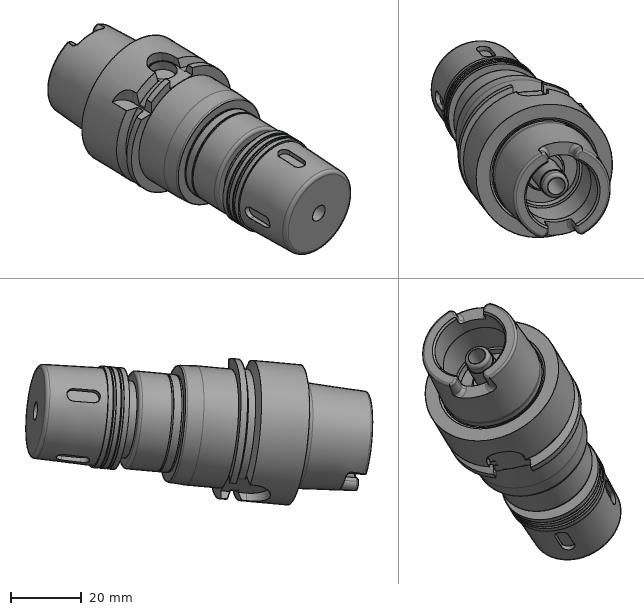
import cadquery as cq
import math


TOTAL_LENGTH = 95.0

SHANK_LENGTH = 19.9
TAPER_END = 17.8
TAPER_SMALL_RADIUS = 14.2
TAPER_LARGE_RADIUS = 15.1
RELIEF_START = 18.6
RELIEF_RADIUS = 14.9
FACE_GROOVE_DEPTH = 0.4
FACE_GROOVE_INNER = 15.3
FACE_GROOVE_OUTER = 16.0
SHANK_EDGE_FILLET = 0.7

BORE_RADIUS = 21.0 / 2
BORE_CHAMFER = 0.6
BORE_LIP_END = 7.9
CAVITY_RADIUS = 21.8 / 2
CAVITY_END = 19.0
FLOOR_STEP_RADIUS = 10.2
FLOOR_RADIUS = 9.9
BORE_FLOOR = 20.9

TUBE_START = 6.6
TUBE_TIP_RADIUS = 7.5 / 2
TUBE_TIP_END = 9.5
TUBE_RADIUS = 8.0 / 2
TUBE_ROUNDING = 1.0
COLLAR_RADIUS = 12.0 / 2
COLLAR_START = 19.5
COLLAR_CHAMFER = 0.6
THROUGH_RADIUS = 5.0 / 2

KEY_HALF_WIDTH = 4.0
KEY_FLARE_RADIUS = 2.0
KEY_FLARE_START = 10.8
KEY_FLOOR_FILLET = 1.1
KEY_DEPTH_TOP = 3.5
KEY_DEPTH_BOTTOM = 5.8

FLANGE_RADIUS = 40.0 / 2
FLANGE_LENGTH = 19.95
FLANGE_END = SHANK_LENGTH + FLANGE_LENGTH
GROOVE_EDGE_START = 33.8
GROOVE_FLOOR_START = 35.0
GROOVE_FLOOR_END = 37.05
GROOVE_EDGE_END = 37.9
GROOVE_RADIUS = 17.4

NOTCH_FLOOR = 16.9
NOTCH_CENTER = 32.3
TOP_NOTCH_WIDTH = 8.9
BOTTOM_NOTCH_WIDTH = 11.0
POCKET_RADIUS = 4.1
POCKET_DEPTH = 2.85
CORNER_NOTCH_OFFSET = 12.0
CORNER_NOTCH_RADIUS = 4.3
CORNER_NOTCH_CENTER = 32.4

BODY_RADIUS = 17.0
BODY_CONE_START = 49.9
BODY_CONE_END = 54.5
BODY_CONE_RADIUS = 16.7
BODY_END = 55.1
BODY_EDGE_RADIUS = 16.5

NECK_RADIUS = 14.0
NECK_RECESS_RADIUS = 13.9
NECK_STEP_START = 55.6
NECK_STEP_END = 57.95
NECK_LAND_START = 58.4
NECK_END = 68.0
NECK_FILLET = 0.95
STEM_RADIUS = 11.0

NUT_START = 71.0
NUT_RING_RADIUS = 29.0 / 2
NUT_RING_END = 77.1
RING_GROOVE_STARTS = (72.5, 74.8)
RING_GROOVE_WIDTH = 0.95
RING_GROOVE_FLOOR_WIDTH = 0.6
RING_GROOVE_DEPTH = 0.4
NUT_BACK_RADIUS = 14.0
NUT_FRONT_RADIUS = 13.4
NUT_FRONT_FILLET = 1.1

NUT_SLOT_START = 79.3
NUT_SLOT_LENGTH = 9.6
NUT_SLOT_WIDTH = 3.9
NUT_SLOT_FLOOR = 12.3
NUT_SLOT_COUNT = 4


def revolve(points):
    """Turn an (x, radius) outline about the X axis."""
    return cq.Workplane("XY").polyline(points).close().revolve(360, (0, 0, 0), (1, 0, 0))


def ring(start, end, inner, outer):
    """Plain ring about the X axis."""
    return revolve([(start, inner), (end, inner), (end, outer), (start, outer)])


def make_shank():
    """Solid taper shank, reaching into the flange as far as the face groove."""
    groove_floor = SHANK_LENGTH + FACE_GROOVE_DEPTH
    return revolve([
        (0, 0),
        (0, TAPER_SMALL_RADIUS),
        (TAPER_END, TAPER_LARGE_RADIUS),
        (RELIEF_START, RELIEF_RADIUS),
        (groove_floor, RELIEF_RADIUS),
        (groove_floor, 0),
    ])


def make_key_slot(depth, side):
    """Drive slot cutter with flared walls, a filleted floor and a rounded mouth; side is +1 or -1 in Z."""
    flare_top = KEY_FLARE_START + KEY_FLARE_RADIUS
    flare_half_width = KEY_HALF_WIDTH + KEY_FLARE_RADIUS
    bulge = KEY_FLARE_RADIUS * math.sqrt(0.5)
    mid_y = flare_half_width - bulge
    mid_z = KEY_FLARE_START + bulge
    reach = FLANGE_RADIUS
    slot = (
        cq.Workplane("YZ")
        .moveTo(-KEY_HALF_WIDTH, 0)
        .lineTo(KEY_HALF_WIDTH, 0)
        .lineTo(KEY_HALF_WIDTH, KEY_FLARE_START)
        .threePointArc((mid_y, mid_z), (flare_half_width, flare_top))
        .lineTo(reach, flare_top)
        .lineTo(reach, reach)
        .lineTo(-reach, reach)
        .lineTo(-reach, flare_top)
        .lineTo(-flare_half_width, flare_top)
        .threePointArc((-mid_y, mid_z), (-KEY_HALF_WIDTH, KEY_FLARE_START))
        .close()
        .extrude(depth)
    )
    wall_height = KEY_FLARE_START / 2
    walls = [(KEY_HALF_WIDTH, wall_height), (-KEY_HALF_WIDTH, wall_height)]
    for y, z in walls:
        slot = slot.edges(cq.selectors.NearestToPointSelector((depth, y, z))).fillet(KEY_FLOOR_FILLET)
    plate = cq.Workplane("YZ").rect(2 * reach, 4 * reach).extrude(-KEY_DEPTH_TOP)
    cutter = slot.union(plate)
    for y, z in walls:
        cutter = cutter.edges(cq.selectors.NearestToPointSelector((0, y, z))).fillet(SHANK_EDGE_FILLET)
    return cutter if side > 0 else cutter.rotate((0, 0, 0), (1, 0, 0), 180)


def make_bore():
    """Cavity of the hollow shank."""
    return revolve([
        (0, 0),
        (0, BORE_RADIUS + BORE_CHAMFER),
        (BORE_CHAMFER, BORE_RADIUS),
        (BORE_LIP_END, BORE_RADIUS),
        (BORE_LIP_END, CAVITY_RADIUS),
        (CAVITY_END, CAVITY_RADIUS),
        (CAVITY_END, FLOOR_STEP_RADIUS),
        (BORE_FLOOR, FLOOR_RADIUS),
        (BORE_FLOOR, 0),
    ])


def make_tube():
    """Coolant tube with a rounded tip and a chamfered collar on the bore floor."""
    tip = ring(TUBE_START, TUBE_TIP_END, 0, TUBE_TIP_RADIUS).faces("<X").edges().fillet(TUBE_ROUNDING)
    stem = ring(TUBE_TIP_END, BORE_FLOOR, 0, TUBE_RADIUS)
    collar = ring(COLLAR_START, BORE_FLOOR, 0, COLLAR_RADIUS).faces("<X").edges().chamfer(COLLAR_CHAMFER)
    return tip.union(stem).union(collar)


def make_flange_and_body():
    """Flange with its gripper groove and the cone-ended body behind it."""
    return revolve([
        (SHANK_LENGTH, 0),
        (SHANK_LENGTH, FLANGE_RADIUS),
        (GROOVE_EDGE_START, FLANGE_RADIUS),
        (GROOVE_FLOOR_START, GROOVE_RADIUS),
        (GROOVE_FLOOR_END, GROOVE_RADIUS),
        (GROOVE_EDGE_END, FLANGE_RADIUS),
        (FLANGE_END, FLANGE_RADIUS),
        (FLANGE_END, BODY_RADIUS),
        (BODY_CONE_START, BODY_RADIUS),
        (BODY_CONE_END, BODY_CONE_RADIUS),
        (BODY_END, BODY_EDGE_RADIUS),
        (BODY_END, 0),
    ])


def make_neck():
    """Neck with two shallow recesses and a rounded end, and the stem that carries the nut."""
    neck = revolve([
        (BODY_END, 0),
        (BODY_END, NECK_RECESS_RADIUS),
        (NECK_STEP_START, NECK_RECESS_RADIUS),
        (NECK_STEP_START, NECK_RADIUS),
        (NECK_STEP_END, NECK_RADIUS),
        (NECK_STEP_END, NECK_RECESS_RADIUS),
        (NECK_LAND_START, NECK_RECESS_RADIUS),
        (NECK_LAND_START, NECK_RADIUS),
        (NECK_END, NECK_RADIUS),
        (NECK_END, 0),
    ])
    neck = neck.faces(">X").edges().fillet(NECK_FILLET)
    return neck.union(ring(NECK_END, NUT_START, 0, STEM_RADIUS))


def make_face_groove():
    """Annular relief in the flange face around the shank, with a conical outer wall."""
    groove_floor = SHANK_LENGTH + FACE_GROOVE_DEPTH
    return revolve([
        (SHANK_LENGTH, RELIEF_RADIUS),
        (SHANK_LENGTH, FACE_GROOVE_OUTER),
        (groove_floor, FACE_GROOVE_INNER),
        (groove_floor, RELIEF_RADIUS),
    ])


def make_nut():
    """Clamping nut: grooved ring, slightly conical sleeve and wrench slots."""
    sleeve = revolve([
        (NUT_RING_END, 0),
        (NUT_RING_END, NUT_BACK_RADIUS),
        (TOTAL_LENGTH, NUT_FRONT_RADIUS),
        (TOTAL_LENGTH, 0),
    ])
    nut = sleeve.faces(">X").edges().fillet(NUT_FRONT_FILLET)
    nut = nut.union(ring(NUT_START, NUT_RING_END, 0, NUT_RING_RADIUS))
    groove_floor = NUT_RING_RADIUS - RING_GROOVE_DEPTH
    for start in RING_GROOVE_STARTS:
        nut = nut.cut(revolve([
            (start, NUT_RING_RADIUS),
            (start, groove_floor),
            (start + RING_GROOVE_FLOOR_WIDTH, groove_floor),
            (start + RING_GROOVE_WIDTH, NUT_RING_RADIUS),
        ]))
    slot = (
        cq.Workplane("XY", origin=(NUT_SLOT_START + NUT_SLOT_LENGTH / 2, 0, NUT_SLOT_FLOOR))
        .slot2D(NUT_SLOT_LENGTH, NUT_SLOT_WIDTH)
        .extrude(FLANGE_RADIUS - NUT_SLOT_FLOOR)
    )
    for index in range(NUT_SLOT_COUNT):
        nut = nut.cut(slot.rotate((0, 0, 0), (1, 0, 0), index * 360 / NUT_SLOT_COUNT))
    return nut


def make_flange_notch(width):
    """Flat notch on the +Z side, round at the shank end and open at the rear flange face."""
    height = FLANGE_RADIUS - NOTCH_FLOOR
    length = FLANGE_END - NOTCH_CENTER
    floor = cq.Workplane("XY", origin=(NOTCH_CENTER, 0, NOTCH_FLOOR))
    straight = floor.center(length / 2, 0).rect(length, width).extrude(height)
    return floor.circle(width / 2).extrude(height).union(straight)


def make_pocket():
    """Round blind pocket sunk into the floor of the top notch."""
    pocket = cq.Workplane("XY", origin=(NOTCH_CENTER, 0, NOTCH_FLOOR - POCKET_DEPTH))
    return pocket.circle(POCKET_RADIUS).extrude(POCKET_DEPTH)


def make_corner_notch():
    """Step notch on the (-Y, +Z) corner of the flange with a rounded inner end."""
    reach = FLANGE_RADIUS
    inner = -CORNER_NOTCH_OFFSET
    round_end = CORNER_NOTCH_CENTER - CORNER_NOTCH_RADIUS
    return (
        cq.Workplane("XY", origin=(0, 0, CORNER_NOTCH_OFFSET))
        .moveTo(FLANGE_END, inner)
        .lineTo(CORNER_NOTCH_CENTER, inner)
        .radiusArc((round_end, inner - CORNER_NOTCH_RADIUS), -CORNER_NOTCH_RADIUS)
        .lineTo(round_end, -reach)
        .lineTo(FLANGE_END, -reach)
        .close()
        .extrude(reach)
    )


shank = make_shank()
shank = shank.faces("<X").edges().fillet(SHANK_EDGE_FILLET)
shank = shank.cut(make_key_slot(KEY_DEPTH_TOP, 1)).cut(make_key_slot(KEY_DEPTH_BOTTOM, -1))

top_notch = make_flange_notch(TOP_NOTCH_WIDTH)
bottom_notch = make_flange_notch(BOTTOM_NOTCH_WIDTH).rotate((0, 0, 0), (1, 0, 0), 180)

result = make_flange_and_body().cut(make_face_groove()).union(shank).union(make_neck()).union(make_nut())
result = result.cut(top_notch).cut(bottom_notch).cut(make_pocket()).cut(make_corner_notch())
result = result.cut(make_bore()).union(make_tube())
result = result.cut(ring(0, TOTAL_LENGTH, 0, THROUGH_RADIUS))